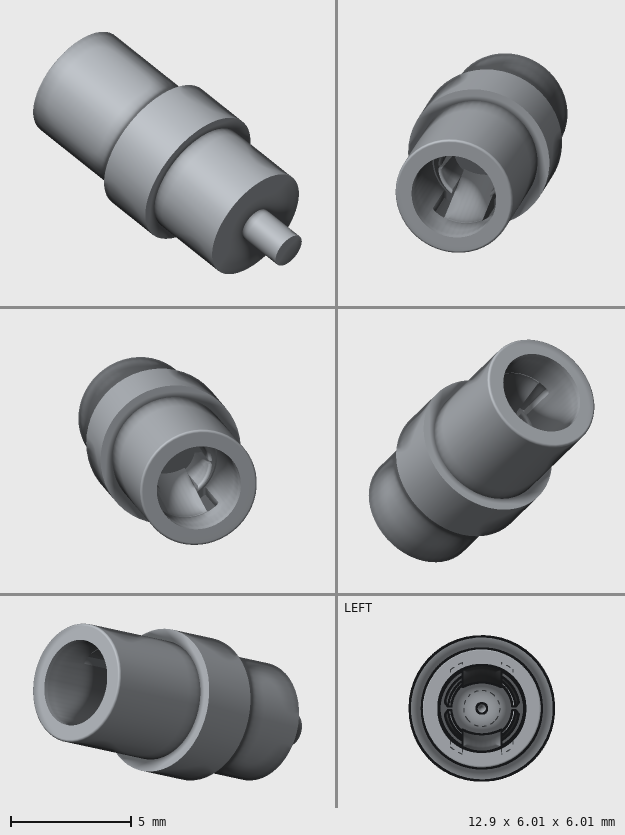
import cadquery as cq
import math

body_diameter = 5.0
rear_diameter = 4.96
collar_diameter = 6.01
pin_diameter = 1.5
collar_start = 4.9
collar_end = 7.4
body_end = 10.9
overall_length = 12.91
mouth_edge_radius = 0.1

mouth_diameter = 3.6
mouth_lip_length = 0.2
bore_diameter = 3.64
seat_diameter = 3.52
seat_start = 4.2
socket_depth = 5.8

recess_width = 2.6
recess_diameter = 4.14
recess_start = 1.8
recess_corner_radius = 0.12

ramp_width = 1.62
ramp_start = 1.9
ramp_end_height = 1.045

finger_tip = 3.4
finger_inner_radius = 1.27
finger_tip_radius = 1.4
finger_root_radius = 1.56
finger_lip_radius = 0.12

slit_width = 0.14
slit_root_width = 0.52

centre_mark_diameter = 0.44
centre_mark_angle = 90.0


def cylinder(diameter, start, end):
    """Cylinder on the X axis between two X positions."""
    return cq.Workplane("YZ").workplane(offset=start).circle(diameter / 2).extrude(end - start)


def bar(width, start, end):
    """Bar centred on the X axis: a given width in Y, the full body height in Z."""
    blank = cq.Workplane("XY").box(end - start, width, body_diameter, centered=(False, True, True))
    return blank.translate((start, 0, 0))


def turn(profile):
    """Full turn of a closed XY profile about the X axis."""
    return profile.revolve(360, (0, 0, 0), (1, 0, 0))


def make_body():
    front = cylinder(body_diameter, 0, collar_start).faces("<X").edges().fillet(mouth_edge_radius)
    collar = cylinder(collar_diameter, collar_start, collar_end)
    rear = cylinder(rear_diameter, collar_end, body_end)
    pin = cylinder(pin_diameter, body_end, overall_length)
    return front.union(collar).union(rear).union(pin)


def make_socket():
    lip = cylinder(mouth_diameter, 0, mouth_lip_length)
    bore = cylinder(bore_diameter, mouth_lip_length, seat_start)
    seat = cylinder(seat_diameter, seat_start, socket_depth)
    return lip.union(bore).union(seat)


def make_recesses():
    ring = cylinder(recess_diameter, recess_start, seat_start)
    window = bar(recess_width, recess_start, seat_start).edges("|Z").fillet(recess_corner_radius)
    return ring.intersect(window)


def make_ramp():
    """Upper ramp: its concave lower face runs level, then leans toward the axis with depth."""
    length = socket_depth - ramp_start
    drop = mouth_diameter / 2 - ramp_end_height
    lean = math.degrees(math.atan2(drop, length))
    leaning_bore = (
        cylinder(mouth_diameter, -overall_length, overall_length)
        .rotate((0, 0, 0), (0, 1, 0), lean)
        .translate((ramp_start, 0, 0))
        .intersect(cylinder(collar_diameter, ramp_start, socket_depth))
    )
    level_bore = cylinder(mouth_diameter, recess_start, ramp_start)
    upper_half = cq.Workplane("XY").box(
        overall_length, body_diameter, body_diameter, centered=(False, True, False)
    )
    block = bar(ramp_width, recess_start, socket_depth).intersect(
        cylinder(recess_diameter, recess_start, socket_depth)
    )
    return block.intersect(upper_half).cut(level_bore).cut(leaning_bore)


def make_slit():
    """Slit across the ring in Y, widening in Z toward the socket floor."""
    half_width = slit_width / 2
    half_root = slit_root_width / 2
    outline = [
        (finger_tip, half_width),
        (socket_depth, half_root),
        (socket_depth, -half_root),
        (finger_tip, -half_width),
    ]
    return cq.Workplane("XZ").polyline(outline).close().extrude(body_diameter / 2, both=True)


def make_fingers():
    """Slightly tapered ring with a rounded inner lip, cut into four fingers."""
    profile = (
        cq.Workplane("XY")
        .moveTo(socket_depth, finger_inner_radius)
        .lineTo(finger_tip + finger_lip_radius, finger_inner_radius)
        .radiusArc((finger_tip, finger_inner_radius + finger_lip_radius), finger_lip_radius)
        .lineTo(finger_tip, finger_tip_radius)
        .lineTo(socket_depth, finger_root_radius)
        .close()
    )
    ramp_gap = bar(ramp_width, finger_tip, socket_depth)
    return turn(profile).cut(ramp_gap).cut(make_slit())


def make_centre_mark():
    radius = centre_mark_diameter / 2
    depth = radius / math.tan(math.radians(centre_mark_angle / 2))
    outline = [(socket_depth, 0), (socket_depth + depth, 0), (socket_depth, radius)]
    return turn(cq.Workplane("XY").polyline(outline).close())


upper_ramp = make_ramp()
lower_ramp = upper_ramp.mirror("XY")

result = make_body().cut(make_socket()).cut(make_recesses())
result = result.union(upper_ramp).union(lower_ramp).union(make_fingers())
result = result.cut(make_centre_mark())